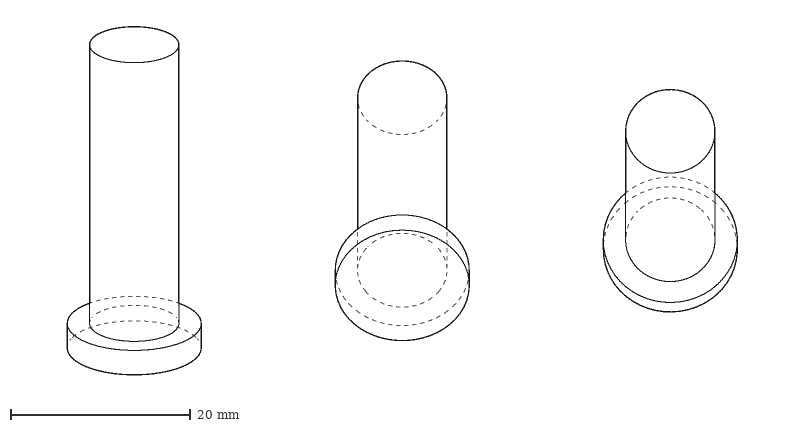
import cadquery as cq

total_height = 37.0
head_diameter = 15.0
head_height = 3.0
shank_diameter = 10.0
shank_height = total_height - head_height

head = (
    cq.Workplane("XY")
    .circle(head_diameter / 2)
    .extrude(head_height)
)

result = (
    head.faces(">Z")
    .workplane()
    .circle(shank_diameter / 2)
    .extrude(shank_height)
)